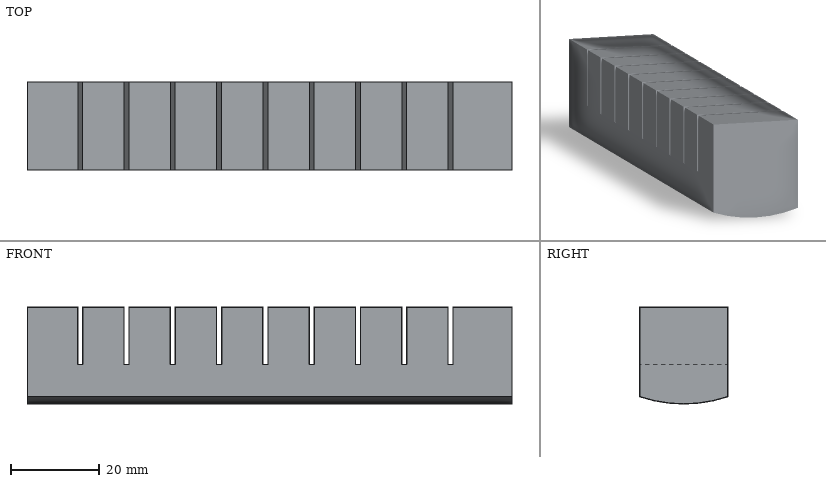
import cadquery as cq

length = 110.0
width = 20.0
height = 22.0
crown_depth = 1.6

slot_count = 9
slot_width = 1.1
slot_depth = 13.0
first_slot_start = 11.4
last_slot_start = 95.5
slot_pitch = (last_slot_start - first_slot_start) / (slot_count - 1)

half_width = width / 2
block = (
    cq.Workplane("YZ")
    .moveTo(-half_width, crown_depth)
    .threePointArc((0, 0), (half_width, crown_depth))
    .lineTo(half_width, height)
    .lineTo(-half_width, height)
    .close()
    .extrude(length)
)


def slot(start):
    """Cutter for one full-width slot whose lower-X wall is at start."""
    return (
        cq.Workplane("XY")
        .box(slot_width, width, slot_depth, centered=(False, True, False))
        .translate((start, 0, height - slot_depth))
    )


result = block
for index in range(slot_count):
    result = result.cut(slot(first_slot_start + index * slot_pitch))